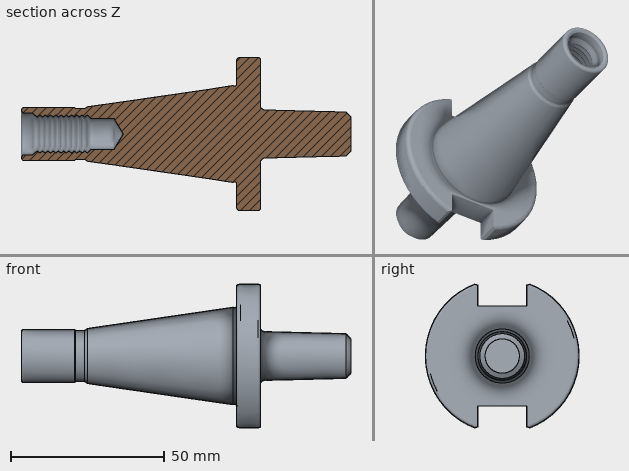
import cadquery as cq
import math

total_length = 107.4
tail_end = 17.3
cone_start = 21.6
cone_end = 69.0
flange_front = 70.0
flange_back = 78.0
nose_start = 80.0
nose_chamfer_start = 105.7

tail_radius = 8.7
tail_edge_round = 0.8
neck_radius = 8.4
neck_lead_out = 1.0

cone_end_radius = 15.9
cone_start_radius = cone_end_radius - (cone_end - cone_start) * 7 / 48
relief_depth = 0.1
relief_round = 0.4

flange_radius = 50.2 / 2
front_rim_round = 1.3
back_rim_round = 1.0
slot_width = 15.9
slot_floor = 16.3
slot_corner_height = 23.1
slot_chamfer_width = 1.1

collar_radius = 8.8
nose_start_radius = 8.0
nose_end_radius = 7.3
tip_chamfer = total_length - nose_chamfer_start

mouth_radius = 7.5
mouth_depth = 0.4
counterbore_radius = 6.8
counterbore_depth = 3.7
thread_radius = 6.1
thread_core_radius = 5.5
drill_radius = 5.0
thread_pitch = 1.7
thread_turns = 10
bore_depth = 30.1
drill_point_depth = drill_radius / math.tan(math.radians(59))


def rounded_corner_middle(x, radius, size, side):
    """Midpoint of a convex edge round; side is -1 for a left edge, +1 for a right edge."""
    inset = size * (1 - math.sqrt(0.5))
    return (x - side * inset, radius - inset)


def make_body():
    relief_radius = cone_end_radius - relief_depth
    fillet_inset = relief_round * (1 - math.sqrt(0.5))
    collar_rise = collar_radius - nose_start_radius
    collar_length = nose_start - flange_back
    collar_middle = (
        nose_start - collar_length * math.sqrt(0.5),
        nose_start_radius + collar_rise * (1 - math.sqrt(0.5)),
    )
    profile = (
        cq.Workplane("XZ")
        .lineTo(0, tail_radius - tail_edge_round)
        .threePointArc(
            rounded_corner_middle(0, tail_radius, tail_edge_round, -1),
            (tail_edge_round, tail_radius),
        )
        .lineTo(tail_end, tail_radius)
        .lineTo(tail_end + tail_radius - neck_radius, neck_radius)
        .lineTo(cone_start - neck_lead_out, neck_radius)
        .lineTo(cone_start, cone_start_radius)
        .lineTo(cone_end, cone_end_radius)
        .lineTo(cone_end, relief_radius)
        .lineTo(flange_front - relief_round, relief_radius)
        .threePointArc(
            (flange_front - fillet_inset, relief_radius + fillet_inset),
            (flange_front, relief_radius + relief_round),
        )
        .lineTo(flange_front, flange_radius - front_rim_round)
        .threePointArc(
            rounded_corner_middle(flange_front, flange_radius, front_rim_round, -1),
            (flange_front + front_rim_round, flange_radius),
        )
        .lineTo(flange_back - back_rim_round, flange_radius)
        .threePointArc(
            rounded_corner_middle(flange_back, flange_radius, back_rim_round, 1),
            (flange_back, flange_radius - back_rim_round),
        )
        .lineTo(flange_back, collar_radius)
        .threePointArc(collar_middle, (nose_start, nose_start_radius))
        .lineTo(nose_chamfer_start, nose_end_radius)
        .lineTo(total_length, nose_end_radius - tip_chamfer)
        .lineTo(total_length, 0)
        .close()
    )
    return profile.revolve(360, (0, 0, 0), (1, 0, 0))


def make_bore():
    """Bore cutter; the thread is a row of plain V-shaped rings."""
    profile = (
        cq.Workplane("XY")
        .lineTo(0, mouth_radius)
        .lineTo(mouth_depth, counterbore_radius)
        .lineTo(counterbore_depth, counterbore_radius)
    )
    thread_start = counterbore_depth + counterbore_radius - thread_radius
    profile = profile.lineTo(thread_start, thread_radius)
    for turn in range(thread_turns):
        ring_start = thread_start + turn * thread_pitch
        profile = profile.lineTo(ring_start + thread_pitch / 2, thread_core_radius)
        profile = profile.lineTo(ring_start + thread_pitch, thread_radius)
    thread_end = thread_start + thread_turns * thread_pitch
    profile = profile.lineTo(thread_end + thread_radius - drill_radius, drill_radius)
    profile = (
        profile.lineTo(bore_depth, drill_radius)
        .lineTo(bore_depth + drill_point_depth, 0)
        .close()
    )
    return profile.revolve(360, (0, 0, 0), (1, 0, 0))


def make_drive_slot():
    """Slot cutter on the +Z side, with its outer corners flared into chamfers."""
    half_width = slot_width / 2
    chamfer_edge = half_width + slot_chamfer_width
    chamfer_height = math.sqrt(flange_radius**2 - chamfer_edge**2)
    return (
        cq.Workplane("YZ", origin=(flange_front, 0, 0))
        .moveTo(-half_width, slot_floor)
        .lineTo(half_width, slot_floor)
        .lineTo(half_width, slot_corner_height)
        .lineTo(chamfer_edge, chamfer_height)
        .lineTo(chamfer_edge, flange_radius)
        .lineTo(-chamfer_edge, flange_radius)
        .lineTo(-chamfer_edge, chamfer_height)
        .lineTo(-half_width, slot_corner_height)
        .close()
        .extrude(flange_back - flange_front)
    )


result = make_body().cut(make_bore())
for slot_angle in (0, 180):
    result = result.cut(make_drive_slot().rotate((0, 0, 0), (1, 0, 0), slot_angle))